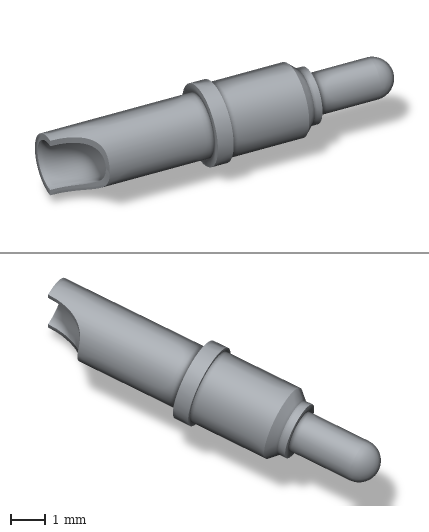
import cadquery as cq
import math

total_length = 10.98

cup_diameter = 2.0
bore_diameter = 1.6
flange_diameter = 2.54
body_diameter = 2.3
collar_diameter = 1.75
plunger_diameter = 1.27

cup_length = 4.83
flange_thickness = 0.5
body_length = 2.47
shoulder_length = 0.3
collar_length = 0.25

bore_depth = 3.0
drill_point_angle = 118.0

cutaway_length = 1.49
cutaway_edge_x = 0.09

cup_radius = cup_diameter / 2
bore_radius = bore_diameter / 2
flange_radius = flange_diameter / 2
body_radius = body_diameter / 2
collar_radius = collar_diameter / 2
plunger_radius = plunger_diameter / 2

flange_end = cup_length + flange_thickness
body_end = flange_end + body_length
shoulder_end = body_end + shoulder_length
collar_end = shoulder_end + collar_length
dome_start = total_length - plunger_radius


def revolve_about_y(profile):
    return profile.close().revolve(360, (0, 0, 0), (0, 1, 0))


def make_pin():
    """Solid stepped pin with a conical shoulder and a hemispherical tip."""
    dome_offset = plunger_radius / math.sqrt(2)
    profile = (
        cq.Workplane("XY")
        .lineTo(cup_radius, 0)
        .lineTo(cup_radius, cup_length)
        .lineTo(flange_radius, cup_length)
        .lineTo(flange_radius, flange_end)
        .lineTo(body_radius, flange_end)
        .lineTo(body_radius, body_end)
        .lineTo(collar_radius, shoulder_end)
        .lineTo(collar_radius, collar_end)
        .lineTo(plunger_radius, collar_end)
        .lineTo(plunger_radius, dome_start)
        .threePointArc((dome_offset, dome_start + dome_offset), (0, total_length))
    )
    return revolve_about_y(profile)


def make_bore():
    """Blind hole from the cup mouth, ending in a drill point."""
    point_length = bore_radius / math.tan(math.radians(drill_point_angle / 2))
    profile = (
        cq.Workplane("XY")
        .lineTo(bore_radius, 0)
        .lineTo(bore_radius, bore_depth)
        .lineTo(0, bore_depth + point_length)
    )
    return revolve_about_y(profile)


def make_cutaway():
    """Elliptical cylinder along Z, centred on the +X edge of the cup mouth."""
    return (
        cq.Workplane("XY")
        .center(cup_radius, 0)
        .ellipse(cup_radius - cutaway_edge_x, cutaway_length)
        .extrude(cup_radius, both=True)
    )


result = make_pin().cut(make_bore()).cut(make_cutaway())